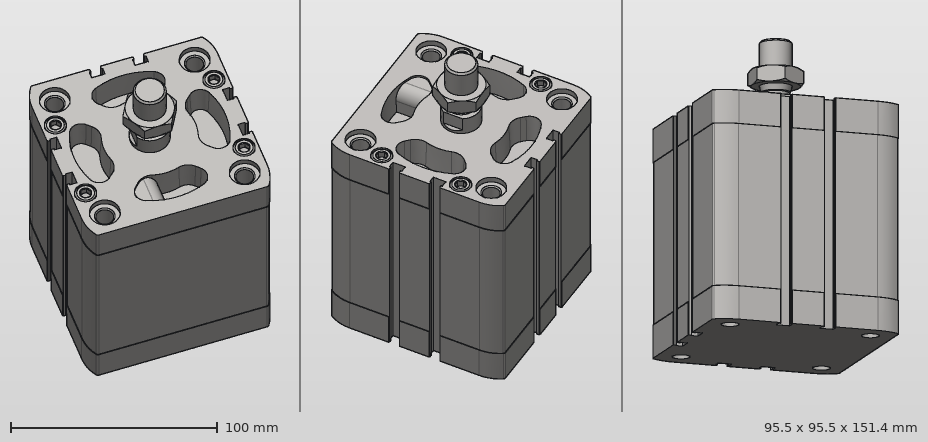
import cadquery as cq
import math

TOTAL_HEIGHT = 151.4

HOUSING_WIDTH = 95.5
HOUSING_HEIGHT = 114.0
CAP_HEIGHT = 16.7
BARREL_INSET = 0.3
CORNER_RUN = 12.1
CORNER_RADIUS = 21.3
CORNER_ROUND = 1.4

SLOT_PITCH = 22.3
SLOT_MOUTH = 5.3
SLOT_WIDTH = 6.8
SLOT_DEPTH = 5.1
SLOT_LIP = 1.7
SLOT_EDGE_CHAMFER = 0.5

MOUNT_PITCH = 71.9
MOUNT_BORE = 8.6
MOUNT_CHAMFER_DIAMETER = 10.0
MOUNT_COUNTERBORE = 15.0
MOUNT_COUNTERBORE_DEPTH = 3.0

SCREW_PITCH_X = 43.5
SCREW_PITCH_Y = 81.5
SCREW_SEAT = 10.7
SCREW_TOP = 8.6
SOCKET_CHAMFER_DIAMETER = 5.9
SOCKET_FLATS = 5.0
SOCKET_DEPTH = 3.5
DRILL_POINT_ANGLE = 140.0

POCKET_COUNT = 4
POCKET_OUTER_RADIUS = 38.9
POCKET_INNER_RADIUS = 23.5
POCKET_OUTER_ROUND = 5.8
POCKET_INNER_ROUND = 7.9
POCKET_OUTER_ROUND_ANGLE = 67.4
POCKET_INNER_ROUND_ANGLE = 73.0
POCKET_DEPTH = 15.1
POCKET_FLOOR_INSET = 0.8

BOSS_RADIUS = 7.0
BOSS_AXIS_Y = -11.4
BOSS_TOP_DEPTH = 1.0

ROD_DIAMETER = 20.0
ROD_SHOULDER = 123.7
ROD_FLATS = 17.0
ROD_FLAT_BOTTOM = 116.5
ROD_RUNOUT_DROP = 1.0
NECK_DIAMETER = 14.2
RELIEF_DIAMETER = 13.5
RELIEF_RAMP = 0.5
NECK_TOP = 126.1
THREAD_DIAMETER = 16.0
THREAD_TIP_DIAMETER = 14.1
THREAD_TIP_HEIGHT = 1.0

NUT_FLATS = 23.9
NUT_BOTTOM = 129.1
NUT_TOP = 137.2
NUT_CHAMFER_ANGLE = 30.0

HALF_WIDTH = HOUSING_WIDTH / 2
POCKET_FLOOR = HOUSING_HEIGHT - POCKET_DEPTH
ROD_HOLE_FLOOR = HOUSING_HEIGHT - CAP_HEIGHT


def polar(radius, degrees):
    """Point at a radius and angle about the origin."""
    angle = math.radians(degrees)
    return (radius * math.cos(angle), radius * math.sin(angle))


def hexagon(flats):
    """Sketch-ready hexagon points with flats on the +X and -X sides."""
    corner_radius = flats / math.sqrt(3)
    return [polar(corner_radius, 30 + 60 * i) for i in range(6)]


def housing_block(inset, bottom, height):
    """Square prism whose corners are shallow arcs tangent to the +Y and -Y faces."""
    half = HALF_WIDTH - inset
    tangent_x = HALF_WIDTH - CORNER_RUN
    arc_radius = CORNER_RADIUS - inset
    half_sweep = math.asin((half - tangent_x) / arc_radius) / 2
    corner_y = half - arc_radius * (1 - math.cos(2 * half_sweep))
    mid_x = tangent_x + arc_radius * math.sin(half_sweep)
    mid_y = half - arc_radius * (1 - math.cos(half_sweep))
    outline = (
        cq.Workplane("XY", origin=(0, 0, bottom))
        .moveTo(-tangent_x, half)
        .lineTo(tangent_x, half)
        .threePointArc((mid_x, mid_y), (half, corner_y))
        .lineTo(half, -corner_y)
        .threePointArc((mid_x, -mid_y), (tangent_x, -half))
        .lineTo(-tangent_x, -half)
        .threePointArc((-mid_x, -mid_y), (-half, -corner_y))
        .lineTo(-half, corner_y)
        .threePointArc((-mid_x, mid_y), (-tangent_x, half))
        .close()
    )
    block = outline.extrude(height)
    side_edges = block.faces("<X or >X").edges("|Z")
    return side_edges.fillet(CORNER_ROUND)


def slot_cutters():
    """T-slots along the full height of the -X, -Y and +Y faces."""
    half_mouth = SLOT_MOUTH / 2
    half_width = SLOT_WIDTH / 2
    upper_half = [
        (0, half_mouth + SLOT_EDGE_CHAMFER),
        (SLOT_EDGE_CHAMFER, half_mouth),
        (SLOT_LIP, half_mouth),
        (SLOT_LIP, half_width),
        (SLOT_DEPTH, half_width),
    ]
    lower_half = [(x, -y) for x, y in reversed(upper_half)]
    slot = (
        cq.Workplane("XY", origin=(-HALF_WIDTH, 0, 0))
        .polyline(upper_half + lower_half)
        .close()
        .extrude(HOUSING_HEIGHT)
    )
    cutters = cq.Workplane("XY")
    for face_angle in (-90, 0, 90):
        for side in (-1, 1):
            placed = slot.translate((0, side * SLOT_PITCH / 2, 0))
            cutters = cutters.union(placed.rotate((0, 0, 0), (0, 0, 1), face_angle))
    return cutters


def mount_hole_cutter():
    """Counterbored through hole with a chamfer at the counterbore floor."""
    floor = HOUSING_HEIGHT - MOUNT_COUNTERBORE_DEPTH
    bore_radius = MOUNT_BORE / 2
    chamfer_radius = MOUNT_CHAMFER_DIAMETER / 2
    chamfer = chamfer_radius - bore_radius
    return (
        cq.Workplane("XZ")
        .polyline([
            (0, 0),
            (bore_radius, 0),
            (bore_radius, floor - chamfer),
            (chamfer_radius, floor),
            (MOUNT_COUNTERBORE / 2, floor),
            (MOUNT_COUNTERBORE / 2, HOUSING_HEIGHT),
            (0, HOUSING_HEIGHT),
        ])
        .close()
        .revolve(360, (0, 0), (0, 1))
    )


def screw_cutter():
    """Recesses that outline one flush screw: bevelled rim, hexagon socket and drill point."""
    bevel = (SCREW_SEAT - SCREW_TOP) / 2
    rim_groove = (
        cq.Workplane("XZ")
        .polyline([
            (SCREW_TOP / 2, HOUSING_HEIGHT),
            (SCREW_SEAT / 2, HOUSING_HEIGHT),
            (SCREW_SEAT / 2, HOUSING_HEIGHT - bevel),
        ])
        .close()
        .revolve(360, (0, 0), (0, 1))
    )
    socket = (
        cq.Workplane("XY", origin=(0, 0, HOUSING_HEIGHT - SOCKET_DEPTH))
        .polyline(hexagon(SOCKET_FLATS))
        .close()
        .extrude(SOCKET_DEPTH)
    )
    inner = SOCKET_FLATS / 2
    lead_in = SOCKET_CHAMFER_DIAMETER / 2 - inner
    point_depth = inner / math.tan(math.radians(DRILL_POINT_ANGLE / 2))
    drilling = (
        cq.Workplane("XZ")
        .polyline([
            (0, HOUSING_HEIGHT),
            (SOCKET_CHAMFER_DIAMETER / 2, HOUSING_HEIGHT),
            (inner, HOUSING_HEIGHT - lead_in),
            (inner, HOUSING_HEIGHT - SOCKET_DEPTH),
            (0, HOUSING_HEIGHT - SOCKET_DEPTH - point_depth),
        ])
        .close()
        .revolve(360, (0, 0), (0, 1))
    )
    return rim_groove.union(socket).union(drilling)


def pocket_outline(plane, inset):
    """Kidney on the +Y side, its two long arcs about the rod axis, offset inward by the inset."""
    outer_angle = POCKET_OUTER_ROUND_ANGLE
    inner_angle = POCKET_INNER_ROUND_ANGLE
    outer_x, outer_y = polar(POCKET_OUTER_RADIUS - POCKET_OUTER_ROUND, outer_angle)
    inner_x, inner_y = polar(POCKET_INNER_RADIUS + POCKET_INNER_ROUND, inner_angle)

    dx = outer_x - inner_x
    dy = outer_y - inner_y
    lean = math.asin((POCKET_INNER_ROUND - POCKET_OUTER_ROUND) / math.hypot(dx, dy))
    normal = math.degrees(math.atan2(dy, dx) + lean) - 90

    def on_outer_round(degrees):
        px, py = polar(POCKET_OUTER_ROUND - inset, degrees)
        return (outer_x + px, outer_y + py)

    def on_inner_round(degrees):
        px, py = polar(POCKET_INNER_ROUND - inset, degrees)
        return (inner_x + px, inner_y + py)

    def mirrored(point):
        return (-point[0], point[1])

    outer_radius = POCKET_OUTER_RADIUS - inset
    inner_radius = POCKET_INNER_RADIUS + inset
    outer_end = polar(outer_radius, outer_angle)
    outer_mid = on_outer_round((outer_angle + normal) / 2)
    flat_top = on_outer_round(normal)
    flat_bottom = on_inner_round(normal)
    inner_mid = on_inner_round((inner_angle - 180 + normal) / 2)
    inner_end = polar(inner_radius, inner_angle)

    return (
        plane
        .moveTo(*mirrored(outer_end))
        .threePointArc((0, outer_radius), outer_end)
        .threePointArc(outer_mid, flat_top)
        .lineTo(*flat_bottom)
        .threePointArc(inner_mid, inner_end)
        .threePointArc((0, inner_radius), mirrored(inner_end))
        .threePointArc(mirrored(inner_mid), mirrored(flat_bottom))
        .lineTo(*mirrored(flat_top))
        .threePointArc(mirrored(outer_mid), mirrored(outer_end))
        .close()
    )


def pocket_cutter():
    """Kidney pocket that narrows evenly toward its floor."""
    floor = pocket_outline(cq.Workplane("XY", origin=(0, 0, POCKET_FLOOR)), POCKET_FLOOR_INSET)
    rim_plane = floor.workplane(offset=POCKET_DEPTH, origin=(0, 0, POCKET_FLOOR))
    return pocket_outline(rim_plane, 0).loft(ruled=True)


def port_boss():
    """Boss along X, rounded toward +Y, that stays standing in the +X pocket."""
    top = HOUSING_HEIGHT - BOSS_TOP_DEPTH
    far_y = BOSS_AXIS_Y - HALF_WIDTH
    return (
        cq.Workplane("YZ")
        .moveTo(far_y, POCKET_FLOOR)
        .lineTo(BOSS_AXIS_Y + BOSS_RADIUS, POCKET_FLOOR)
        .lineTo(BOSS_AXIS_Y + BOSS_RADIUS, top - BOSS_RADIUS)
        .radiusArc((BOSS_AXIS_Y, top), -BOSS_RADIUS)
        .lineTo(far_y, top)
        .close()
        .extrude(HALF_WIDTH)
    )


def make_housing():
    body = housing_block(BARREL_INSET, 0, HOUSING_HEIGHT)
    for cap_bottom in (0, HOUSING_HEIGHT - CAP_HEIGHT):
        body = body.union(housing_block(0, cap_bottom, CAP_HEIGHT))
    body = body.cut(slot_cutters())

    mount_hole = mount_hole_cutter()
    screw = screw_cutter()
    for side_x in (-1, 1):
        for side_y in (-1, 1):
            body = body.cut(mount_hole.translate((side_x * MOUNT_PITCH / 2, side_y * MOUNT_PITCH / 2, 0)))
            body = body.cut(screw.translate((side_x * SCREW_PITCH_X / 2, side_y * SCREW_PITCH_Y / 2, 0)))

    pocket = pocket_cutter()
    for i in range(POCKET_COUNT):
        turned = pocket.rotate((0, 0, 0), (0, 0, 1), -90 + i * 360 / POCKET_COUNT)
        if i == 0:
            turned = turned.cut(port_boss())
        body = body.cut(turned)

    rod_hole = cq.Workplane("XY", origin=(0, 0, ROD_HOLE_FLOOR)).circle(ROD_DIAMETER / 2).extrude(CAP_HEIGHT)
    return body.cut(rod_hole)


def make_rod():
    shank_radius = ROD_DIAMETER / 2
    rod = (
        cq.Workplane("XZ")
        .polyline([
            (0, ROD_HOLE_FLOOR),
            (shank_radius, ROD_HOLE_FLOOR),
            (shank_radius, ROD_SHOULDER),
            (NECK_DIAMETER / 2, ROD_SHOULDER),
            (RELIEF_DIAMETER / 2, ROD_SHOULDER + RELIEF_RAMP),
            (RELIEF_DIAMETER / 2, NECK_TOP - RELIEF_RAMP),
            (NECK_DIAMETER / 2, NECK_TOP),
            (THREAD_DIAMETER / 2, NUT_BOTTOM),
            (THREAD_DIAMETER / 2, TOTAL_HEIGHT - THREAD_TIP_HEIGHT),
            (THREAD_TIP_DIAMETER / 2, TOTAL_HEIGHT),
            (0, TOTAL_HEIGHT),
        ])
        .close()
        .revolve(360, (0, 0), (0, 1))
    )
    flat = (
        cq.Workplane("YZ")
        .polyline([
            (ROD_FLATS / 2, ROD_SHOULDER),
            (ROD_FLATS / 2, ROD_FLAT_BOTTOM),
            (shank_radius, ROD_FLAT_BOTTOM - ROD_RUNOUT_DROP),
            (shank_radius, ROD_SHOULDER),
        ])
        .close()
        .extrude(shank_radius, both=True)
    )
    return rod.cut(flat).cut(flat.mirror("XZ"))


def make_nut():
    prism = (
        cq.Workplane("XY", origin=(0, 0, NUT_BOTTOM))
        .polyline(hexagon(NUT_FLATS))
        .close()
        .extrude(NUT_TOP - NUT_BOTTOM)
    )
    face_radius = NUT_FLATS / 2
    corner_radius = NUT_FLATS / math.sqrt(3)
    chamfer = (corner_radius - face_radius) * math.tan(math.radians(NUT_CHAMFER_ANGLE))
    envelope = (
        cq.Workplane("XZ")
        .polyline([
            (THREAD_DIAMETER / 2, NUT_BOTTOM),
            (face_radius, NUT_BOTTOM),
            (corner_radius, NUT_BOTTOM + chamfer),
            (corner_radius, NUT_TOP - chamfer),
            (face_radius, NUT_TOP),
            (THREAD_DIAMETER / 2, NUT_TOP),
        ])
        .close()
        .revolve(360, (0, 0), (0, 1))
    )
    return prism.intersect(envelope)


housing = make_housing()
rod = make_rod()
nut = make_nut()

result = cq.Compound.makeCompound([housing.val(), rod.val(), nut.val()])